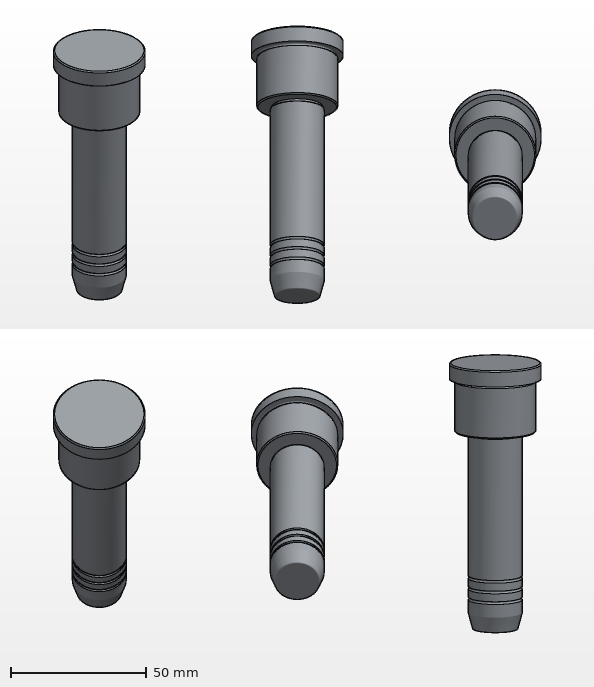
import cadquery as cq
import math

total_length = 100.0
head_diameter = 34.0
head_thickness = 6.0
collar_diameter = 30.0
collar_length = 20.0
shaft_diameter = 20.0

head_chamfer = 0.5
collar_chamfer = 0.5
tip_fillet = 0.5

groove_width = 1.0
groove_wall_radius = 0.49
tip_groove_count = 3
tip_groove_pitch = 4.0
lowest_tip_groove_z = 11.5

undercut_width = 1.0
undercut_depth = 0.5

taper_length = 6.0
taper_angle = 15.0

head_bottom_z = total_length - head_thickness
collar_bottom_z = head_bottom_z - collar_length
tip_radius = shaft_diameter / 2 - taper_length * math.tan(math.radians(taper_angle))


def cylinder(diameter, bottom_z, top_z):
    return cq.Workplane("XY").workplane(offset=bottom_z).circle(diameter / 2).extrude(top_z - bottom_z)


def revolve_about_z(profile):
    """Turn a closed profile on the XZ plane a full revolution about the Z axis."""
    return profile.revolve(360, (0, 0, 0), (0, 1, 0))


def make_head():
    head = cylinder(head_diameter, head_bottom_z, total_length)
    return head.faces(">Z").edges().chamfer(head_chamfer)


def make_collar():
    collar = cylinder(collar_diameter, collar_bottom_z, head_bottom_z)
    return collar.faces("<Z").edges().chamfer(collar_chamfer)


def make_shaft():
    """Cylindrical shaft with a conical lead-in and a rounded edge at the tip."""
    radius = shaft_diameter / 2
    profile = (
        cq.Workplane("XZ")
        .lineTo(tip_radius, 0)
        .lineTo(radius, taper_length)
        .lineTo(radius, collar_bottom_z)
        .lineTo(0, collar_bottom_z)
        .close()
    )
    return revolve_about_z(profile).faces("<Z").edges().fillet(tip_fillet)


def make_undercut():
    """Square-section ring to remove from the top of the shaft."""
    bottom_z = collar_bottom_z - undercut_width
    outer = cylinder(shaft_diameter, bottom_z, collar_bottom_z)
    return outer.cut(cylinder(shaft_diameter - 2 * undercut_depth, bottom_z, collar_bottom_z))


def make_groove(diameter, center_z):
    """Ring to remove from a cylinder to leave one round-walled groove."""
    mouth_radius = diameter / 2
    floor_radius = mouth_radius - groove_wall_radius
    half_width = groove_width / 2
    half_floor = half_width - groove_wall_radius
    arc_offset = groove_wall_radius * math.sin(math.radians(45))
    arc_mid_radius = mouth_radius - arc_offset
    arc_mid_height = half_floor + arc_offset
    profile = (
        cq.Workplane("XZ")
        .moveTo(mouth_radius, center_z + half_width)
        .threePointArc((arc_mid_radius, center_z + arc_mid_height), (floor_radius, center_z + half_floor))
        .lineTo(floor_radius, center_z - half_floor)
        .threePointArc((arc_mid_radius, center_z - arc_mid_height), (mouth_radius, center_z - half_width))
        .close()
    )
    return revolve_about_z(profile)


result = make_head().union(make_collar()).union(make_shaft())
result = result.cut(make_undercut())
result = result.cut(make_groove(collar_diameter, head_bottom_z - groove_width / 2))
for index in range(tip_groove_count):
    groove_z = lowest_tip_groove_z + index * tip_groove_pitch
    result = result.cut(make_groove(shaft_diameter, groove_z))